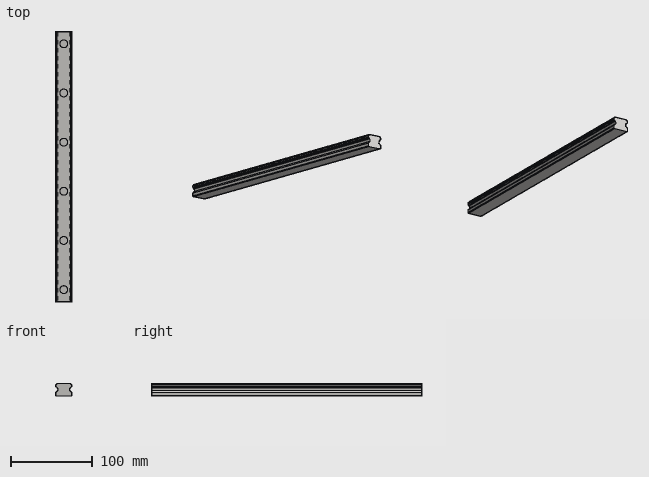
import cadquery as cq

rail_width = 20.0
rail_length = 330.0
rail_height = 15.5
half_width = rail_width / 2

nose_center_height = 12.7
nose_flat = 1.6
nose_bevel_width = 0.25
nose_bevel_height = 0.5
neck_half_width = 8.4
neck_height = 0.7
groove_sag = 0.12

flat_offset = nose_flat / 2
bevel_offset = flat_offset + nose_bevel_height
neck_offset = rail_height - neck_height - nose_center_height
head_offset = rail_height - nose_center_height
nose_edge_half_width = half_width - nose_bevel_width

web_half_width = 7.3
web_top = 8.4
web_bottom = 7.0
base_top = web_bottom - (half_width - web_half_width)
base_chamfer = 0.8

hole_count = 6
hole_pitch = 60.0
cap_diameter = 9.5
cap_recess = 0.2


def rail_body():
    """Extrude the rail section along Y, centred on the origin in X and Y."""
    base_and_web = (
        cq.Workplane("XZ")
        .lineTo(half_width - base_chamfer, 0)
        .lineTo(half_width, base_chamfer)
        .lineTo(half_width, base_top)
        .lineTo(web_half_width, web_bottom)
        .lineTo(web_half_width, web_top)
        .tangentArcPoint((neck_half_width, nose_center_height - head_offset), relative=False)
    )
    half_section = (
        base_and_web
        .lineTo(neck_half_width, nose_center_height - neck_offset)
        .sagittaArc((nose_edge_half_width, nose_center_height - bevel_offset), groove_sag)
        .lineTo(half_width, nose_center_height - flat_offset)
        .lineTo(half_width, nose_center_height + flat_offset)
        .lineTo(nose_edge_half_width, nose_center_height + bevel_offset)
        .sagittaArc((neck_half_width, nose_center_height + neck_offset), groove_sag)
        .lineTo(neck_half_width, rail_height)
        .lineTo(0, rail_height)
    )
    return half_section.mirrorY().extrude(rail_length / 2, both=True)


def cap_recesses():
    """Shallow round recesses spaced evenly along the top face."""
    return (
        cq.Workplane("XY", origin=(0, 0, rail_height - cap_recess))
        .rarray(1, hole_pitch, 1, hole_count)
        .circle(cap_diameter / 2)
        .extrude(cap_recess)
    )


result = rail_body().cut(cap_recesses())